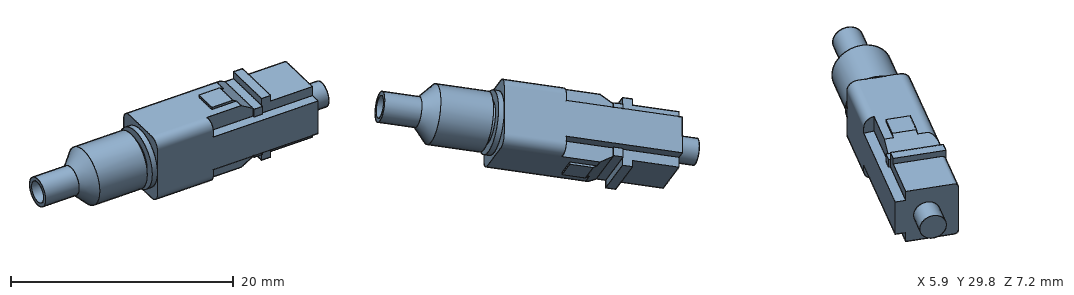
import cadquery as cq

width = 5.9
body_height = 6.75
overall_length = 29.8

tail_length = 3.52
tail_radius = 1.415
bore_radius = 1.05
cone_length = 1.35
boot_length = 4.98
boot_radius = 2.77
neck_length = 0.42
neck_radius = 2.05
collar_length = 0.55
collar_radius = width / 2

ferrule_length = 2.18
ferrule_radius = 1.237

nose_height = 5.55
nose_length = 4.38
nose_fillet = 0.45
lip_length = 0.95
waist_height = 5.27
waist_length = 0.9
waist_step = 0.18
body_fillet = 0.98
pad_width = 2.25
pad_length = 2.2
pad_height = 0.224
ramp_length = 1.6

web_height = 3.58
recess_length = 11.05
recess_end_slant = 0.1

cone_start = tail_length
boot_start = cone_start + cone_length
neck_start = boot_start + boot_length
collar_start = neck_start + neck_length
body_start = collar_start + collar_length
nose_end = overall_length - ferrule_length
lip_back = nose_end - nose_length
lip_front = lip_back - lip_length
ramp_foot = lip_front - waist_length
ramp_top = ramp_foot - ramp_length
pad_front = ramp_top - pad_length

half_width = width / 2
recess_x = half_width - body_fillet
pad_top = body_height / 2 + pad_height


def block(x_min, x_max, y_min, y_max, height):
    """Box between the given X and Y limits, centred on Z = 0."""
    return cq.Workplane("XY").box(
        x_max - x_min, y_max - y_min, height, centered=(False, False, True)
    ).translate((x_min, y_min, 0))


def ramp_profile(x_width):
    """Lengthwise outline with the ramp on both sides, centred on X = 0."""
    waist = waist_height / 2
    return (
        cq.Workplane("YZ")
        .polyline([
            (pad_front, -pad_top), (ramp_top, -pad_top), (ramp_foot, -waist), (lip_front, -waist),
            (lip_front, waist), (ramp_foot, waist), (ramp_top, pad_top), (pad_front, pad_top),
        ])
        .close()
        .extrude(x_width / 2, both=True)
    )


def make_main_body():
    """Rounded rear body, ramped down to a waist behind the lip."""
    body = block(-half_width, half_width, body_start, lip_front, body_height).edges("|Y").fillet(body_fillet)
    rear = body.intersect(block(-half_width, half_width, body_start, pad_front, body_height))
    ramped = body.intersect(ramp_profile(width))
    return rear.union(ramped)


def make_pads():
    """Raised rectangular pads on the top and bottom, with ramped leading ends."""
    strip = block(-pad_width / 2, pad_width / 2, pad_front, ramp_foot, 2 * pad_top)
    return ramp_profile(pad_width).intersect(strip)


def make_nose():
    nose = block(-half_width, half_width, lip_back, nose_end, nose_height)
    return nose.edges("|Y and <X").fillet(nose_fillet)


def make_recess(side):
    """Cutter above (side = 1) or below (side = -1) the central web."""
    recess_end = nose_end - recess_length
    cutter = (
        cq.Workplane("XY")
        .workplane(offset=side * web_height / 2)
        .polyline([
            (recess_x, recess_end), (half_width, recess_end + recess_end_slant),
            (half_width, nose_end), (recess_x, nose_end),
        ])
        .close()
        .extrude(side * body_height)
    )
    step = block(recess_x, recess_x + waist_step, ramp_foot, lip_front, waist_height)
    return cutter.cut(step)


def make_boot():
    """Turned boot, neck and collar with a blind cable bore through the tail."""
    return (
        cq.Workplane("XY")
        .polyline([
            (0, tail_length), (bore_radius, tail_length), (bore_radius, 0), (tail_radius, 0),
            (tail_radius, cone_start), (boot_radius, boot_start), (boot_radius, neck_start),
            (neck_radius, neck_start), (neck_radius, collar_start), (collar_radius, collar_start),
            (collar_radius, body_start), (0, body_start),
        ])
        .close()
        .revolve(360, (0, 0, 0), (0, 1, 0))
    )


def make_ferrule():
    return cq.Workplane("XZ", origin=(0, nose_end, 0)).circle(ferrule_radius).extrude(-ferrule_length)


lip = block(-half_width, half_width, lip_front, lip_back, body_height)
housing = make_main_body().union(lip).union(make_nose())
for side in (1, -1):
    housing = housing.cut(make_recess(side))

result = housing.union(make_pads()).union(make_boot()).union(make_ferrule())